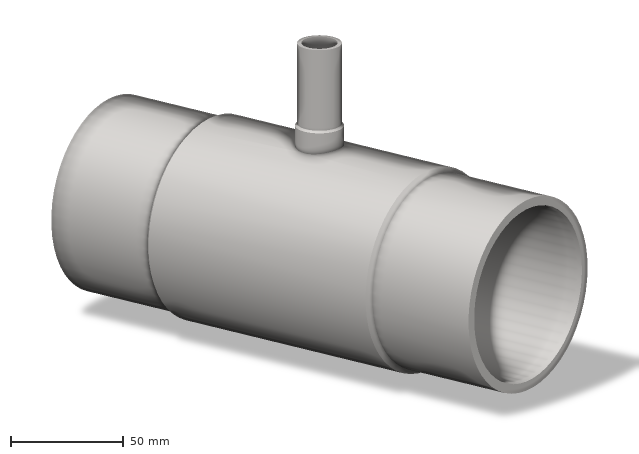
import cadquery as cq

pipe_length = 230.0
pipe_diameter = 90.0
bore_diameter = 81.4

sleeve_length = 124.0
sleeve_diameter = 94.3
sleeve_chamfer = (sleeve_diameter - pipe_diameter) / 2

branch_top = 95.0
branch_diameter = 20.0
branch_bore_diameter = 16.2
collar_top = 57.0
collar_diameter = 21.9
collar_chamfer = (collar_diameter - branch_diameter) / 2


def cylinder_along_x(diameter, length):
    """Cylinder centred on the origin with its axis along X."""
    return cq.Workplane("YZ", origin=(-length / 2, 0, 0)).circle(diameter / 2).extrude(length)


def cylinder_up(diameter, top):
    """Cylinder rising along Z from the pipe axis to the given height."""
    return cq.Workplane("XY").circle(diameter / 2).extrude(top)


def make_main_body():
    """Pipe with its chamfered sleeve, not yet bored."""
    sleeve = cylinder_along_x(sleeve_diameter, sleeve_length)
    sleeve = sleeve.faces("<X or >X").chamfer(sleeve_chamfer)
    return cylinder_along_x(pipe_diameter, pipe_length).union(sleeve)


def make_branch():
    """Branch tube with its chamfered collar, not yet bored."""
    collar = cylinder_up(collar_diameter, collar_top)
    collar = collar.faces(">Z").chamfer(collar_chamfer)
    return cylinder_up(branch_diameter, branch_top).union(collar)


body = make_main_body().union(make_branch())
body = body.cut(cylinder_along_x(bore_diameter, pipe_length))
result = body.cut(cylinder_up(branch_bore_diameter, branch_top))